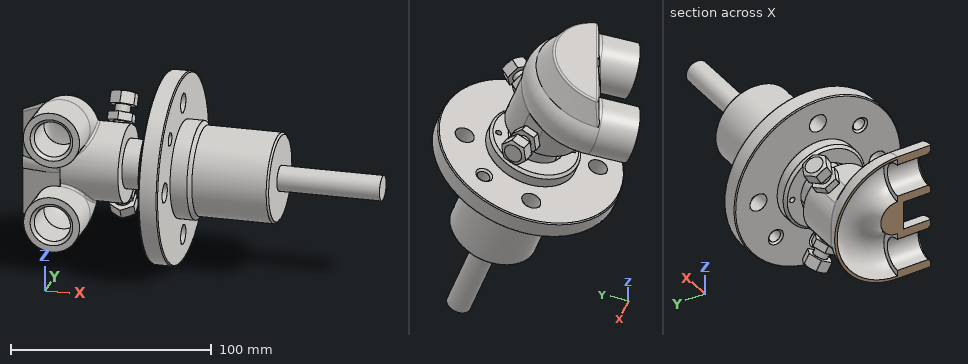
import cadquery as cq
import math

total_length = 183.12

port_diameter = 29.0
port_spacing = 45.0
bend_x = 22.0
bend_y = -16.4
port_end_y = -36.2
thread_bore = 18.63
passage_diameter = 25.36
port_mouth = 21.98
port_chamfer = (port_mouth - thread_bore) / 2
bend_radius = port_spacing / 2

cap_radius = 28.3
cap_seat_x = 12.4
cap_flat_y = -11.5
cap_edge_round = 1.2

neck_diameter = 40.2
neck_end_x = 51.9
neck_fillet = 1.0

rib_radius = 7.2
rib_rise = 0.9
rib_start_x = 0.4

plug_x = 45.15
plug_tilt = 30.0
plug_flats = 12.7
plug_corners = plug_flats / math.cos(math.radians(30))
plug_stem_diameter = 8.0
plug_seat_radius = 19.5
plug_nut_base = 20.5
plug_nut_top = 24.8
plug_head_base = 29.0
plug_head_top = 36.0
plug_end_diameter = 9.75
plug_end_slope = 20.0

shaft_diameter = 25.36
shaft_bore_diameter = 29.0
collar_diameter = 48.0
collar_start_x = 63.0
collar_chamfer = 1.5
flange_diameter = 98.0
flange_start_x = 70.1
flange_end_x = 80.1
flange_chamfer = 0.6
shoulder_diameter = 50.0
shoulder_end_x = 90.8
body_diameter = 46.0
shoulder_chamfer = (shoulder_diameter - body_diameter) / 2
body_end_x = 130.2
body_chamfer = 1.0
tube_diameter = 13.0

bolt_circle_radius = 35.0
bolt_hole_diameter = 9.9
bolt_count = 4
jack_hole_diameter = 6.65
jack_mouth_diameter = 8.8
jack_angles = (135, 315)
collar_hole_radius = 19.5
collar_hole_diameter = 3.0
collar_hole_angles = (0, 180)
blind_end_x = collar_start_x + 5.0

X_AXIS = cq.Vector(1, 0, 0)
Y_AXIS = cq.Vector(0, 1, 0)


def rod(diameter, start_x, end_x, y=0.0, z=0.0):
    """Cylinder parallel to X."""
    solid = cq.Solid.makeCylinder(diameter / 2, end_x - start_x, cq.Vector(start_x, y, z), X_AXIS)
    return cq.Workplane(obj=solid)


def polar_point(radius, angle, x):
    """Point at a polar position about X, the angle running from +Y toward +Z."""
    return cq.Vector(x, radius * math.cos(math.radians(angle)), radius * math.sin(math.radians(angle)))


def polar_rod(diameter, radius, angle, start_x, end_x):
    """Cylinder parallel to X at a polar position."""
    base = polar_point(radius, angle, start_x)
    return rod(diameter, start_x, end_x, base.y, base.z)


def polar_countersink(mouth_diameter, hole_diameter, radius, angle, face_x):
    """45 degree cone narrowing from a face into a hole at a polar position."""
    depth = (mouth_diameter - hole_diameter) / 2
    base = polar_point(radius, angle, face_x)
    cone = cq.Solid.makeCone(mouth_diameter / 2, hole_diameter / 2, depth, base, X_AXIS)
    return cq.Workplane(obj=cone)


def half_ring(diameter):
    """Half torus about X on the +Y side of the bend centre."""
    return (
        cq.Workplane("XZ", origin=(bend_x, bend_y, 0))
        .center(0, bend_radius)
        .circle(diameter / 2)
        .revolve(180, (0, -bend_radius, 0), (-1, -bend_radius, 0))
    )


def port_leg(diameter, side):
    """Straight leg of a port, from the bend to the open end."""
    base = cq.Vector(bend_x, port_end_y, side * bend_radius)
    leg = cq.Solid.makeCylinder(diameter / 2, bend_y - port_end_y, base, Y_AXIS)
    return cq.Workplane(obj=leg)


def flat_y(x):
    """Y of the sloping flat, which runs from the cap face down to the neck surface."""
    return cap_flat_y + (-neck_diameter / 2 - cap_flat_y) * x / bend_x


def make_cap():
    """Conical cap and the web behind it, both trimmed by the sloping flat."""
    seat_offset = bend_x - cap_seat_x
    seat_radius = bend_radius + math.sqrt((port_diameter / 2) ** 2 - seat_offset**2)
    cap = (
        cq.Workplane("XY", origin=(0, bend_y, 0))
        .lineTo(0, cap_radius)
        .lineTo(cap_seat_x, seat_radius)
        .lineTo(cap_seat_x, bend_radius)
        .lineTo(bend_x, bend_radius)
        .lineTo(bend_x, 0)
        .close()
        .revolve(360, (0, 0, 0), (1, 0, 0))
    )
    kept_side = (
        cq.Workplane("XY", origin=(0, 0, -flange_diameter / 2))
        .moveTo(0, flat_y(0))
        .lineTo(bend_x, flat_y(bend_x))
        .lineTo(bend_x, flange_diameter)
        .lineTo(0, flange_diameter)
        .close()
        .extrude(flange_diameter)
    )
    cap = cap.intersect(kept_side)
    outer_edges = cq.selectors.BoxSelector(
        (-bend_x, -flange_diameter, -flange_diameter),
        (cap_seat_x / 2 + cap_edge_round, flange_diameter, flange_diameter),
    )
    return cap.edges(outer_edges).fillet(cap_edge_round)


def make_rib():
    """Round rib whose crest starts proud of the flat and meets it at the neck."""
    crest_start = cq.Vector(0, cap_flat_y - rib_rise, 0)
    crest_end = cq.Vector(bend_x, flat_y(bend_x), 0)
    run = crest_end - crest_start
    outward = cq.Vector(run.y, -run.x, 0).normalized()
    base = crest_start - outward * rib_radius - run
    bar = cq.Solid.makeCylinder(rib_radius, 3 * run.Length, base, run)
    span = cq.Workplane("XY").box(
        bend_x - rib_start_x, neck_diameter, neck_diameter, centered=(False, True, True)
    )
    return cq.Workplane(obj=bar).intersect(span.translate((rib_start_x, 0, 0)))


def tilt_to_plug(shape, side):
    """Turn a shape built along +Z about X onto the axis of the upper or lower plug."""
    angle = -plug_tilt if side > 0 else plug_tilt - 180
    return shape.rotate((0, 0, 0), (1, 0, 0), angle)


def hexagon(start, end):
    """Hexagonal prism about Z with two of its flats facing along X."""
    return (
        cq.Workplane("XY", origin=(0, 0, start))
        .transformed(rotate=(0, 0, 30))
        .polygon(6, plug_corners)
        .extrude(end - start)
    )


def make_plug(side):
    """Nut, stem and chamfered head, stood on the flat seat of the neck."""
    stem = (
        cq.Workplane("XY", origin=(0, 0, plug_seat_radius))
        .circle(plug_stem_diameter / 2)
        .extrude(plug_head_base - plug_seat_radius)
    )
    corner_drop = (plug_corners - plug_end_diameter) / 2 * math.tan(math.radians(plug_end_slope))
    chamfer_envelope = (
        cq.Workplane("XZ")
        .moveTo(0, plug_head_base)
        .lineTo(plug_corners / 2, plug_head_base)
        .lineTo(plug_corners / 2, plug_head_top - corner_drop)
        .lineTo(plug_end_diameter / 2, plug_head_top)
        .lineTo(0, plug_head_top)
        .close()
        .revolve(360, (0, 0, 0), (0, 1, 0))
    )
    head = hexagon(plug_head_base, plug_head_top).intersect(chamfer_envelope)
    plug = hexagon(plug_nut_base, plug_nut_top).union(stem).union(head)
    return tilt_to_plug(plug, side).translate((plug_x, 0, 0))


def make_neck():
    """Round neck with a flat seat cut for each plug."""
    neck = rod(neck_diameter, bend_x, neck_end_x)
    for side in (1, -1):
        block = cq.Workplane("XY").box(
            neck_end_x, neck_diameter, neck_diameter, centered=(False, True, False)
        )
        block = block.translate((bend_x, 0, plug_seat_radius))
        neck = neck.cut(tilt_to_plug(block, side))
    return neck


def round_neck_joint(elbow):
    """Fillet the curved edges where the bent pipe meets the neck."""
    joint = cq.selectors.BoxSelector(
        (bend_x + neck_fillet, -neck_diameter / 2, -neck_diameter / 2),
        (neck_end_x, neck_diameter / 2, neck_diameter / 2),
    )
    return elbow.edges("%BSPLINE").edges(joint).fillet(neck_fillet)


def cut_passage(elbow):
    """Bore both ports, join them through the bend and chamfer their mouths."""
    elbow = elbow.cut(half_ring(passage_diameter))
    for side in (1, -1):
        mouth = cq.Solid.makeCone(
            port_mouth / 2,
            thread_bore / 2,
            port_chamfer,
            cq.Vector(bend_x, port_end_y, side * bend_radius),
            Y_AXIS,
        )
        elbow = elbow.cut(port_leg(thread_bore, side)).cut(cq.Workplane(obj=mouth))
    return elbow


def make_elbow():
    elbow = half_ring(port_diameter)
    for side in (1, -1):
        elbow = elbow.union(port_leg(port_diameter, side))
    elbow = elbow.union(make_cap()).union(make_neck()).clean()
    elbow = round_neck_joint(elbow).union(make_rib())
    elbow = cut_passage(elbow)
    for side in (1, -1):
        elbow = elbow.union(make_plug(side))
    return elbow


def make_rotor():
    collar = rod(collar_diameter, collar_start_x, flange_start_x).faces("<X").chamfer(collar_chamfer)
    flange = rod(flange_diameter, flange_start_x, flange_end_x).edges().chamfer(flange_chamfer)
    shoulder = rod(shoulder_diameter, flange_end_x, shoulder_end_x).faces(">X").chamfer(shoulder_chamfer)
    body = rod(body_diameter, shoulder_end_x, body_end_x).faces(">X").chamfer(body_chamfer)
    collar = collar.cut(rod(shaft_bore_diameter, collar_start_x, blind_end_x))
    rotor = rod(shaft_diameter, neck_end_x, flange_start_x)
    for section in (collar, flange, shoulder, body, rod(tube_diameter, body_end_x, total_length)):
        rotor = rotor.union(section)
    return rotor


def drill_rotor(rotor):
    for index in range(bolt_count):
        angle = index * 360 / bolt_count
        rotor = rotor.cut(
            polar_rod(bolt_hole_diameter, bolt_circle_radius, angle, flange_start_x, flange_end_x)
        )
    for angle in jack_angles:
        hole = polar_rod(jack_hole_diameter, bolt_circle_radius, angle, flange_start_x, flange_end_x)
        mouth = polar_countersink(
            jack_mouth_diameter, jack_hole_diameter, bolt_circle_radius, angle, flange_start_x
        )
        rotor = rotor.cut(hole).cut(mouth)
    for angle in collar_hole_angles:
        rotor = rotor.cut(
            polar_rod(collar_hole_diameter, collar_hole_radius, angle, collar_start_x, blind_end_x)
        )
    return rotor


result = make_elbow().union(drill_rotor(make_rotor()))